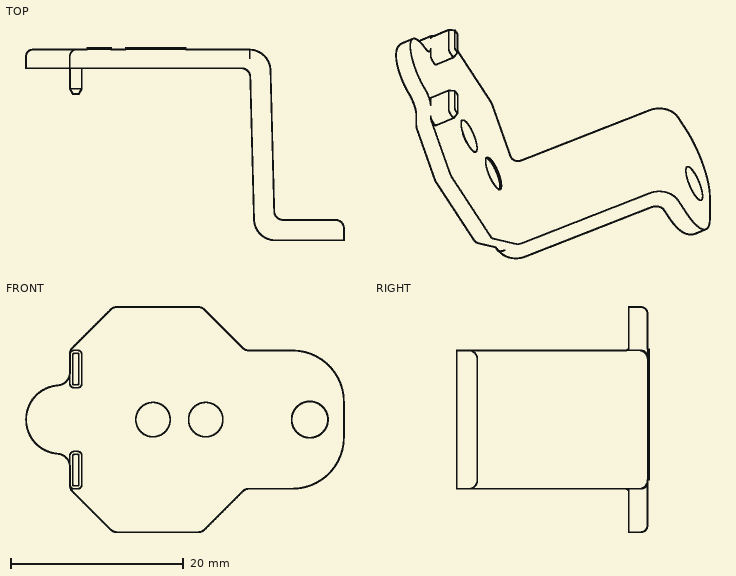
import cadquery as cq
import math


plate_thickness = 2.2
plate_half_height = 13.1
plate_left = 5.1
plate_right = 25.5
corner_radius = 1.0
plate_edge_radius = 0.8
tongue_radius = 4.0
tongue_root_radius = 1.5

overall_length = 36.98
foot_face = -20.0
strap_thickness = 2.4
strap_half_width = 8.05
wall_inner_x = 26.04
wall_lean = math.radians(1.5)
inner_bend_radius = 1.0
outer_bend_radius = 2.5
strap_edge_radius = 1.0
foot_corner_radius = 6.0
foot_hole_x = 33.0
foot_hole_diameter = 4.2

pocket_diameter = 4.0
deep_pocket_x = 14.77
deep_pocket_depth = 1.2
shallow_pocket_x = 20.9
shallow_pocket_depth = 0.2

prong_length = 3.0
prong_thickness = 1.4
prong_inner_z = 3.7
prong_outer_z = strap_half_width
prong_side_radius = 0.5
prong_tip_taper = 0.35
prong_tip_length = 0.65

panel_height = 0.2
panels = [
    (7.1, 9.9, 4.2, 8.2),
    (11.6, 18.6, -7.0, 4.2),
]

selection_margin = 0.1

corner_cut = plate_half_height - strap_half_width
bend_setback = math.tan((math.pi / 2 - wall_lean) / 2)
wall_thickness_x = strap_thickness / math.cos(wall_lean)


def wall_x(y, offset=0.0):
    """X of the leaning wall's inner face at y, moved along X by offset."""
    return wall_inner_x + offset - y * math.tan(wall_lean)


strap_start = wall_x(plate_thickness, wall_thickness_x) - outer_bend_radius * bend_setback


def block(x_min, x_max, y_min, y_max, z_min, z_max):
    size = (x_max - x_min, y_max - y_min, z_max - z_min)
    return cq.Workplane("XY").box(*size, centered=False).translate((x_min, y_min, z_min))


def cylinder_y(x, diameter, y_min, y_max):
    """Round bar along Y, centred on Z = 0."""
    plane = cq.Workplane("XZ", origin=(x, y_max, 0))
    return plane.circle(diameter / 2).extrude(y_max - y_min)


def make_plate():
    """Octagon with a short tail for the strap, a tongue and a rounded back rim."""
    upper = [
        (plate_left, strap_half_width),
        (plate_left + corner_cut, plate_half_height),
        (plate_right - corner_cut, plate_half_height),
        (plate_right, strap_half_width),
        (wall_inner_x, strap_half_width),
    ]
    lower = [(x, -z) for x, z in reversed(upper)]
    plane = cq.Workplane("XZ", origin=(0, plate_thickness, 0))
    plate = plane.polyline(upper + lower).close().extrude(plate_thickness)
    straight_end = cq.selectors.BoxSelector(
        (wall_inner_x - selection_margin, -selection_margin, -plate_half_height),
        (wall_inner_x + selection_margin, plate_thickness + selection_margin, plate_half_height),
    )
    outline_corners = plate.edges("|Y").edges(cq.selectors.InverseSelector(straight_end))
    plate = outline_corners.fillet(corner_radius)

    plate = plate.union(cylinder_y(tongue_radius, 2 * tongue_radius, 0, plate_thickness))
    tongue_roots = cq.selectors.BoxSelector(
        (plate_left - selection_margin, 0, -tongue_radius),
        (plate_left + selection_margin, plate_thickness, tongue_radius),
    )
    plate = plate.edges("|Y").edges(tongue_roots).fillet(tongue_root_radius)

    back_rim = plate.faces(">Y").edges(cq.selectors.InverseSelector(straight_end))
    return back_rim.fillet(plate_edge_radius)


def make_strap():
    """Bent strip; its left end is a tab buried in the plate."""
    foot_back = foot_face + strap_thickness
    bends = [
        (wall_x(foot_face), foot_face, outer_bend_radius),
        (wall_x(foot_back, wall_thickness_x), foot_back, inner_bend_radius),
        (wall_x(plate_thickness, wall_thickness_x), plate_thickness, outer_bend_radius),
    ]
    outer_foot, inner_foot, outer_top = bends
    tab_left = strap_start - inner_bend_radius
    profile = [
        (tab_left, 0),
        (wall_inner_x, 0),
        outer_foot[:2],
        (overall_length, foot_face),
        (overall_length, foot_back),
        inner_foot[:2],
        outer_top[:2],
        (tab_left, plate_thickness),
    ]
    strip = cq.Workplane("XY").polyline(profile).close().extrude(strap_half_width, both=True)
    for x, y, radius in bends:
        strip = strip.edges(cq.selectors.NearestToPointSelector((x, y, 0))).fillet(radius)
    strip = strip.edges("|Y and >X").fillet(foot_corner_radius)

    foot_rim = cq.selectors.NearestToPointSelector((overall_length, foot_back, 0))
    return strip.edges(foot_rim).fillet(strap_edge_radius)


def make_prong():
    """Upper prong, rounded on its sides and tapered at its tip."""
    prong = block(plate_left, plate_left + prong_thickness, -prong_length, plate_thickness / 2,
                  prong_inner_z, prong_outer_z)
    prong = prong.edges("|Y").fillet(prong_side_radius)
    return prong.faces("<Y").chamfer(prong_tip_taper, prong_tip_length)


def make_panel(left, right, bottom, top):
    return block(left, right, plate_thickness / 2, plate_thickness + panel_height, bottom, top)


result = make_plate().union(make_strap())
inner_corner = cq.selectors.NearestToPointSelector((wall_inner_x, 0, 0))
result = result.edges(inner_corner).fillet(inner_bend_radius)

prong = make_prong()
result = result.union(prong).union(prong.mirror("XY"))

for panel in panels:
    result = result.union(make_panel(*panel))

result = result.cut(cylinder_y(deep_pocket_x, pocket_diameter, 0, deep_pocket_depth))
result = result.cut(cylinder_y(shallow_pocket_x, pocket_diameter, 0, shallow_pocket_depth))
result = result.cut(cylinder_y(foot_hole_x, foot_hole_diameter, foot_face, foot_face + strap_thickness))